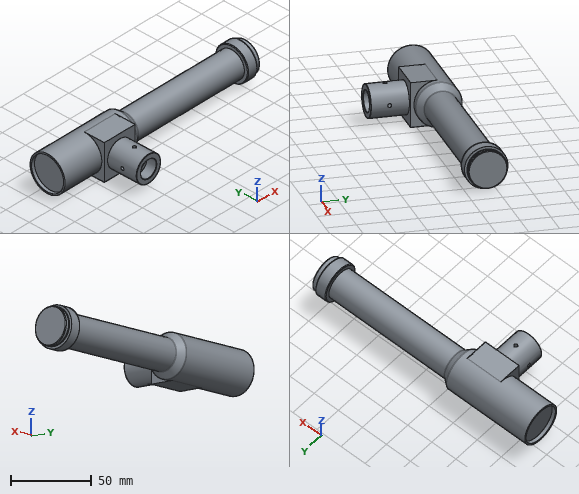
import cadquery as cq

total_length = 178.6
body_diameter = 30.0
body_length = 65.2
taper_length = 5.2
taper_fillet = 0.7
tube_diameter = 22.0

collar_start = 166.3
collar_diameter = 28.0
collar_length = 8.2
collar_chamfer = 0.5
groove_diameter = 24.5
groove_length = 0.9
lip_diameter = 25.4
lip_chamfer = 0.5

recess_diameter = 27.5
recess_depth = 2.7

block_start = 33.2
block_width = 27.9
block_reach = 17.1
branch_x = block_start + block_width / 2
branch_diameter = 22.0
branch_reach = 42.0
bore_diameter = 14.1
bore_depth = 8.2
pipe_edge_chamfer = 0.27
inner_bore_diameter = 8.0
inner_bore_depth = branch_reach
pin_hole_diameter = 2.5
pin_hole_reach = 29.8


def cylinder_along_x(start, length, diameter):
    """Cylinder on the main axis, growing toward +X."""
    return cq.Workplane("YZ", origin=(start, 0, 0)).circle(diameter / 2).extrude(length)


def cylinder_along_branch(reach, depth, diameter):
    """Cylinder on the branch axis, from -Y = reach back toward the main axis."""
    plane = cq.Workplane("XZ", origin=(branch_x, -reach, 0))
    return plane.circle(diameter / 2).extrude(-depth)


def make_barrel():
    """Body, taper, tube, collar and lip, with the end recess."""
    collar_end = collar_start + collar_length
    lip_start = collar_end + groove_length
    tube_start = body_length + taper_length
    shaft = (
        cq.Workplane("XY")
        .moveTo(0, 0)
        .lineTo(0, body_diameter / 2)
        .lineTo(body_length, body_diameter / 2)
        .lineTo(tube_start, tube_diameter / 2)
        .lineTo(collar_start, tube_diameter / 2)
        .lineTo(collar_start, 0)
        .close()
        .revolve(360, (0, 0, 0), (1, 0, 0))
    )
    taper_zone = cq.selectors.BoxSelector(
        (body_length - taper_length, -body_diameter, -body_diameter),
        (tube_start + taper_length, body_diameter, body_diameter),
    )
    shaft = shaft.edges("%CIRCLE").edges(taper_zone).fillet(taper_fillet)
    collar = cylinder_along_x(collar_start, collar_length, collar_diameter)
    collar = collar.faces("<X").edges().chamfer(collar_chamfer)
    lip = cylinder_along_x(lip_start, total_length - lip_start, lip_diameter)
    lip = lip.faces(">X").edges().chamfer(lip_chamfer)
    return (
        shaft
        .union(collar)
        .union(cylinder_along_x(collar_end, groove_length, groove_diameter))
        .union(lip)
        .cut(cylinder_along_x(0, recess_depth, recess_diameter))
    )


def make_branch():
    """Square block carrying the branch pipe."""
    block = cq.Workplane("XY").box(
        block_width, block_reach, body_diameter, centered=(True, False, True)
    ).translate((branch_x, -block_reach, 0))
    pipe = cylinder_along_branch(branch_reach, branch_reach, branch_diameter)
    return block.union(pipe.faces("<Y").edges().chamfer(pipe_edge_chamfer))


def make_branch_holes():
    """Stepped bore with a beveled mouth, and the two crossing pin holes through the pipe wall."""
    bore = cylinder_along_branch(branch_reach, bore_depth, bore_diameter)
    inner_bore = cylinder_along_branch(branch_reach, inner_bore_depth, inner_bore_diameter)
    pin_center = (branch_x, -pin_hole_reach, 0)
    mouth_bevel = (
        cq.Workplane("XZ", origin=(branch_x, -branch_reach, 0))
        .circle(bore_diameter / 2 + pipe_edge_chamfer)
        .workplane(offset=-pipe_edge_chamfer)
        .circle(bore_diameter / 2)
        .loft(ruled=True)
    )
    holes = bore.union(inner_bore).union(mouth_bevel)
    for plane in ("XY", "YZ"):
        pin_hole = (
            cq.Workplane(plane, origin=pin_center)
            .circle(pin_hole_diameter / 2)
            .extrude(branch_diameter / 2, both=True)
        )
        holes = holes.union(pin_hole)
    return holes


result = make_barrel().union(make_branch()).cut(make_branch_holes())